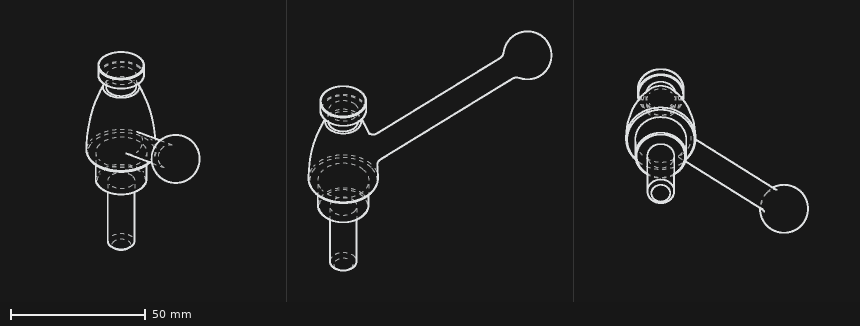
import cadquery as cq
import math

spigot_bottom = 29.8
body_bottom = 42.9
body_top = 73.0
cap_bottom = 78.4
cap_top = 83.2

pin_diameter = 10.0
spigot_diameter = 19.0
body_diameter = 26.0
body_top_diameter = 13.5
neck_diameter = 11.2
cap_diameter = 17.2

pin_chamfer = 1.5
spigot_chamfer = 0.5
body_chamfer = 0.5
body_chamfer_height = 1.0
cap_chamfer = 0.3

overall_length = 93.0
overall_height = 99.0
lever_diameter = 9.0
lever_angle = 30.0
ball_diameter = 18.0
body_blend_radius = 3.0
ball_blend_radius = 3.0

ball_radius = ball_diameter / 2
ball_x = overall_length - body_diameter / 2 - ball_radius
ball_z = overall_height - ball_radius
lever_direction = cq.Vector(math.cos(math.radians(lever_angle)), 0, math.sin(math.radians(lever_angle)))


def post(diameter, bottom, top):
    """Vertical cylinder on the main axis between two heights."""
    return cq.Workplane("XY").workplane(offset=bottom).circle(diameter / 2).extrude(top - bottom)


def bell_body():
    """Body of revolution whose arched side rises vertically from its lower rim."""
    rim_radius = body_diameter / 2
    top_radius = body_top_diameter / 2
    rim_z = body_bottom + body_chamfer_height
    return (
        cq.Workplane("XZ")
        .moveTo(0, body_bottom)
        .lineTo(rim_radius - body_chamfer, body_bottom)
        .lineTo(rim_radius, rim_z)
        .radiusArc((top_radius, body_top), -side_radius(rim_radius - top_radius, body_top - rim_z))
        .lineTo(0, body_top)
        .close()
        .revolve(360, (0, 0), (0, 1))
    )


def side_radius(inset, rise):
    """Radius of an arc that starts vertical and moves inward by inset over rise."""
    return (inset**2 + rise**2) / (2 * inset)


def lever():
    """Round bar from the main axis to the centre of the ball."""
    length = ball_x / lever_direction.x
    start = cq.Vector(ball_x, 0, ball_z) - lever_direction * length
    return cq.Workplane(cq.Plane(start, (0, 1, 0), lever_direction)).circle(lever_diameter / 2).extrude(length)


def edges_around(point):
    """Selector for the edges whose centres lie within a lever diameter of a point on the lever."""
    reach = cq.Vector(lever_diameter, lever_diameter, lever_diameter)
    return cq.selectors.BoxSelector((point - reach).toTuple(), (point + reach).toTuple())


ball = cq.Workplane("XY").sphere(ball_radius).translate((ball_x, 0, ball_z))

handle = bell_body().union(lever()).union(ball)

ball_center = cq.Vector(ball_x, 0, ball_z)
body_joint = ball_center - lever_direction * ((ball_x - body_diameter / 2) / lever_direction.x)
ball_joint = ball_center - lever_direction * ball_radius
handle = handle.edges(edges_around(body_joint)).fillet(body_blend_radius)
handle = handle.edges(edges_around(ball_joint)).fillet(ball_blend_radius)

pin = post(pin_diameter, 0, body_bottom).faces("<Z").chamfer(pin_chamfer)
spigot = post(spigot_diameter, spigot_bottom, body_bottom).faces("<Z").chamfer(spigot_chamfer)
neck = post(neck_diameter, body_top, cap_top)
cap = post(cap_diameter, cap_bottom, cap_top).edges().chamfer(cap_chamfer)

result = handle.union(spigot).union(pin).union(neck).union(cap)